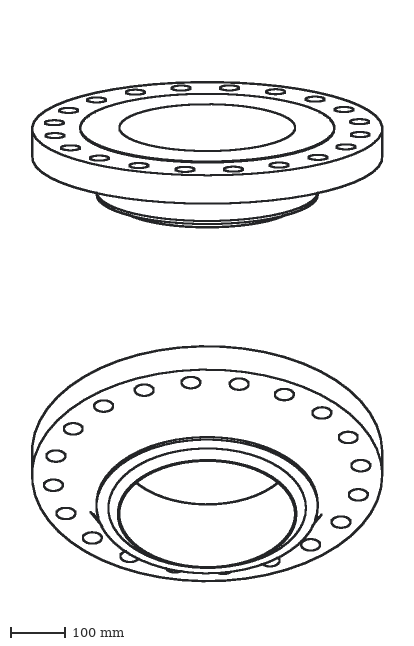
import cadquery as cq
import math

height = 146.0
flange_radius = 324.0
bore_radius = 162.5

raised_face_radius = 235.0
raised_face_height = 2.0
flange_thickness = 54.5
flange_top = height - raised_face_height
flange_bottom = flange_top - flange_thickness

hub_end_radius = 204.5
hub_end_z = 23.0
hub_angle = 30.0
hub_fillet_radius = 15.5
hub_base_radius = hub_end_radius + (flange_bottom - hub_end_z) * math.tan(math.radians(hub_angle))

bevel_start_z = 17.5
bevel_knee_radius = 182.5
shallow_bevel_angle = 10.0
shallow_bevel_width = hub_end_radius - bevel_knee_radius
bevel_knee_z = bevel_start_z - shallow_bevel_width * math.tan(math.radians(shallow_bevel_angle))
land_radius = 165.0

bolt_count = 20
bolt_circle_radius = 285.5
bolt_hole_diameter = 35.0


def make_body():
    """Revolve the half section about the Z axis."""
    section = (
        cq.Workplane("XZ")
        .moveTo(bore_radius, 0)
        .lineTo(land_radius, 0)
        .lineTo(bevel_knee_radius, bevel_knee_z)
        .lineTo(hub_end_radius, bevel_start_z)
        .lineTo(hub_end_radius, hub_end_z)
        .lineTo(hub_base_radius, flange_bottom)
        .lineTo(flange_radius, flange_bottom)
        .lineTo(flange_radius, flange_top)
        .lineTo(raised_face_radius, flange_top)
        .lineTo(raised_face_radius, height)
        .lineTo(bore_radius, height)
        .close()
    )
    return section.revolve(360, (0, 0, 0), (0, 1, 0))


def fillet_hub_base(body):
    """Round the inner corner where the hub meets the flange."""
    margin = 0.5
    reach = hub_base_radius + margin
    corner_box = cq.selectors.BoxSelector(
        (-reach, -reach, flange_bottom - margin),
        (reach, reach, flange_bottom + margin),
        boundingbox=True,
    )
    return body.edges(corner_box).fillet(hub_fillet_radius)


def drill_bolt_holes(body):
    """Drill the ring of through holes, the first one on the X axis."""
    return (
        body.faces(">Z")
        .workplane(origin=(0, 0, height))
        .polarArray(bolt_circle_radius, 0, 360, bolt_count)
        .hole(bolt_hole_diameter)
    )


result = drill_bolt_holes(fillet_hub_base(make_body()))